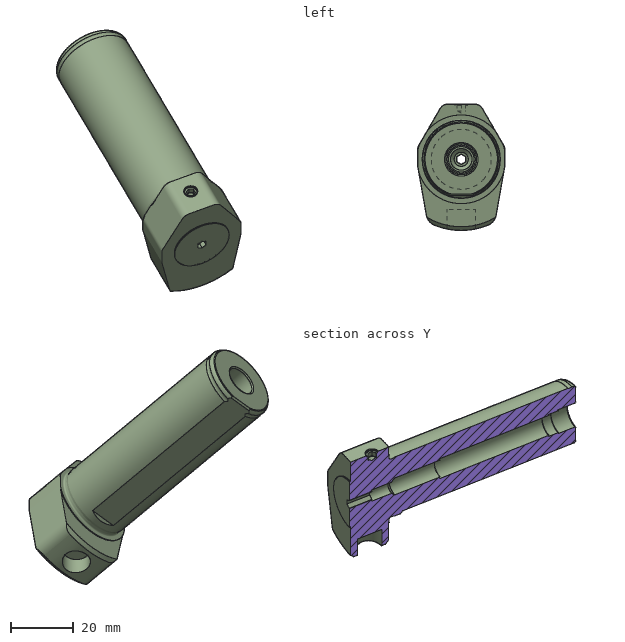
import cadquery as cq
import math

total_length = 85.0

head_start = 70.2
end_boss_height = 0.4
head_end = total_length - end_boss_height
head_length = head_end - head_start
head_middle = (head_start + head_end) / 2
head_width = 28.0
head_top = 17.7
top_corner_half_width = 5.95
side_flat_bottom = -2.0
top_side_angle = 60.0
lower_taper_angle = 10.0
corner_radius = 3.0
foot_radius = 22.8
foot_corner_radius = 4.5
foot_bevel = 1.2
end_boss_diameter = 19.2

shank_diameter = 25.0
relief_diameter = 24.6
collar_diameter = 28.4
collar_thickness = 0.25
collar_start = head_start - collar_thickness
tip_face_diameter = 23.1
tip_bevel_length = 0.2
tip_bevel_diameter = 23.8
tip_round_length = 1.6
tip_groove_end = 3.15
neck_start = 67.9
neck_ramp = 0.8
neck_fillet = 0.5
flat_depth = 11.65
flat_end = 64.9
flat_tip_bevel = 0.6

mouth_diameter = 10.7
mouth_chamfer = 0.4
counterbore_diameter = mouth_diameter - 2 * mouth_chamfer
counterbore_depth = 6.6
recess_diameter = 9.0
recess_depth = 10.2
bore_diameter = 8.2
bore_depth = 51.0
step_diameter = 6.9
step_depth = 68.0
pilot_diameter = 4.5
pilot_depth = 76.5
axial_hex_flats = 2.8

set_screw_x = 76.4
set_screw_mouth = 4.5
set_screw_diameter = 4.0
set_screw_recess = 0.5
set_screw_hex_corners = 3.0
set_screw_hex_depth = 1.7
set_screw_cone_diameter = 2.3
set_screw_cone_depth = set_screw_cone_diameter / 2 * math.tan(math.radians(30))

foot_hole_diameter = 9.0
foot_hole_depth = 6.8


def axial_cylinder(diameter, start, end):
    """Cylinder on the X axis."""
    return cq.Workplane("YZ", origin=(start, 0, 0)).circle(diameter / 2).extrude(end - start)


def make_head_prism():
    half_width = head_width / 2
    slope = math.tan(math.radians(top_side_angle))
    shoulder_z = head_top - (half_width - top_corner_half_width) * slope
    taper = math.radians(lower_taper_angle)
    side_distance = half_width * math.cos(taper) - side_flat_bottom * math.sin(taper)
    along_side = math.sqrt(foot_radius**2 - side_distance**2)
    foot_y = side_distance * math.cos(taper) - along_side * math.sin(taper)
    foot_z = -side_distance * math.sin(taper) - along_side * math.cos(taper)
    prism = (
        cq.Workplane("YZ", origin=(head_start, 0, 0))
        .moveTo(-top_corner_half_width, head_top)
        .lineTo(top_corner_half_width, head_top)
        .lineTo(half_width, shoulder_z)
        .lineTo(half_width, side_flat_bottom)
        .lineTo(foot_y, foot_z)
        .threePointArc((0, -foot_radius), (-foot_y, foot_z))
        .lineTo(-half_width, side_flat_bottom)
        .lineTo(-half_width, shoulder_z)
        .close()
        .extrude(head_length)
    )
    for y, z, radius in (
        (top_corner_half_width, head_top, corner_radius),
        (half_width, shoulder_z, corner_radius),
        (foot_y, foot_z, foot_corner_radius),
    ):
        for side in (-1, 1):
            corner = cq.selectors.NearestToPointSelector((head_middle, side * y, z))
            prism = prism.edges("|X").edges(corner).fillet(radius)
    return prism


def make_head():
    prism = make_head_prism()
    foot_bar = axial_cylinder(2 * foot_radius, head_start, head_end)
    bevelled_bar = foot_bar.faces("<X or >X").chamfer(foot_bevel)
    head = prism.intersect(bevelled_bar)
    collar = axial_cylinder(collar_diameter, collar_start, head_start)
    collar = collar.intersect(prism.translate((-collar_thickness, 0, 0)))
    end_boss = axial_cylinder(end_boss_diameter, head_end, total_length)
    return head.union(collar).union(end_boss)


def make_shank():
    radius = shank_diameter / 2
    relief_radius = relief_diameter / 2
    bevel_radius = tip_bevel_diameter / 2
    arc_length = tip_round_length - tip_bevel_length
    arc_rise = radius - bevel_radius
    tip_radius = (arc_length**2 + arc_rise**2) / (2 * arc_rise)
    tip_angle = math.asin(arc_length / tip_radius) / 2
    tip_arc_middle = (
        tip_round_length - tip_radius * math.sin(tip_angle),
        radius - tip_radius * (1 - math.cos(tip_angle)),
    )
    tip_groove_middle = (tip_round_length + tip_groove_end) / 2
    fillet_offset = neck_fillet * math.sqrt(0.5)
    shank = (
        cq.Workplane("XZ")
        .lineTo(0, tip_face_diameter / 2)
        .lineTo(tip_bevel_length, bevel_radius)
        .threePointArc(tip_arc_middle, (tip_round_length, radius))
        .threePointArc((tip_groove_middle, relief_radius), (tip_groove_end, radius))
        .lineTo(neck_start, radius)
        .lineTo(neck_start + neck_ramp, relief_radius)
        .lineTo(collar_start - neck_fillet, relief_radius)
        .threePointArc(
            (collar_start - neck_fillet + fillet_offset, relief_radius + neck_fillet - fillet_offset),
            (collar_start, relief_radius + neck_fillet),
        )
        .lineTo(collar_start, 0)
        .close()
        .revolve(360, (0, 0, 0), (1, 0, 0))
    )
    cut_bottom = -shank_diameter
    flat = (
        cq.Workplane("XZ")
        .moveTo(0, -flat_depth + flat_tip_bevel)
        .lineTo(flat_tip_bevel, -flat_depth)
        .lineTo(flat_end, -flat_depth)
        .lineTo(flat_end - flat_depth - cut_bottom, cut_bottom)
        .lineTo(0, cut_bottom)
        .close()
        .extrude(radius, both=True)
    )
    return shank.cut(flat)


def make_axial_bore():
    bore = (
        cq.Workplane("XZ")
        .lineTo(0, mouth_diameter / 2)
        .lineTo(mouth_chamfer, counterbore_diameter / 2)
        .lineTo(counterbore_depth, counterbore_diameter / 2)
        .lineTo(counterbore_depth, recess_diameter / 2)
        .lineTo(recess_depth, recess_diameter / 2)
        .lineTo(recess_depth, bore_diameter / 2)
        .lineTo(bore_depth, bore_diameter / 2)
        .lineTo(bore_depth, step_diameter / 2)
        .lineTo(step_depth, step_diameter / 2)
        .lineTo(step_depth + (step_diameter - pilot_diameter) / 2, pilot_diameter / 2)
        .lineTo(pilot_depth, pilot_diameter / 2)
        .lineTo(pilot_depth, 0)
        .close()
        .revolve(360, (0, 0, 0), (1, 0, 0))
    )
    hexagon = (
        cq.Workplane("YZ", origin=(pilot_depth, 0, 0))
        .polygon(6, axial_hex_flats, circumscribed=True)
        .extrude(total_length - pilot_depth)
    )
    return bore.union(hexagon)


def make_set_screw_socket():
    chamfer = (set_screw_mouth - set_screw_diameter) / 2
    recess = (
        cq.Workplane("XY", origin=(set_screw_x, 0, head_top - set_screw_recess))
        .circle(set_screw_diameter / 2)
        .extrude(set_screw_recess)
    )
    mouth = (
        cq.Workplane("XY", origin=(set_screw_x, 0, head_top))
        .circle(set_screw_mouth / 2)
        .extrude(-chamfer, taper=45)
    )
    hex_floor = head_top - set_screw_recess - set_screw_hex_depth
    hexagon = (
        cq.Workplane("XY", origin=(set_screw_x, 0, hex_floor))
        .polygon(6, set_screw_hex_corners)
        .extrude(set_screw_hex_depth)
    )
    cone = cq.Workplane(
        cq.Solid.makeCone(
            set_screw_cone_diameter / 2,
            0,
            set_screw_cone_depth,
            pnt=cq.Vector(set_screw_x, 0, hex_floor),
            dir=cq.Vector(0, 0, -1),
        )
    )
    return recess.union(mouth).union(hexagon).union(cone)


def make_foot_hole():
    return (
        cq.Workplane("XY", origin=(head_middle, 0, -foot_radius))
        .circle(foot_hole_diameter / 2)
        .extrude(foot_hole_depth)
    )


result = (
    make_head()
    .union(make_shank())
    .cut(make_axial_bore())
    .cut(make_set_screw_socket())
    .cut(make_foot_hole())
)